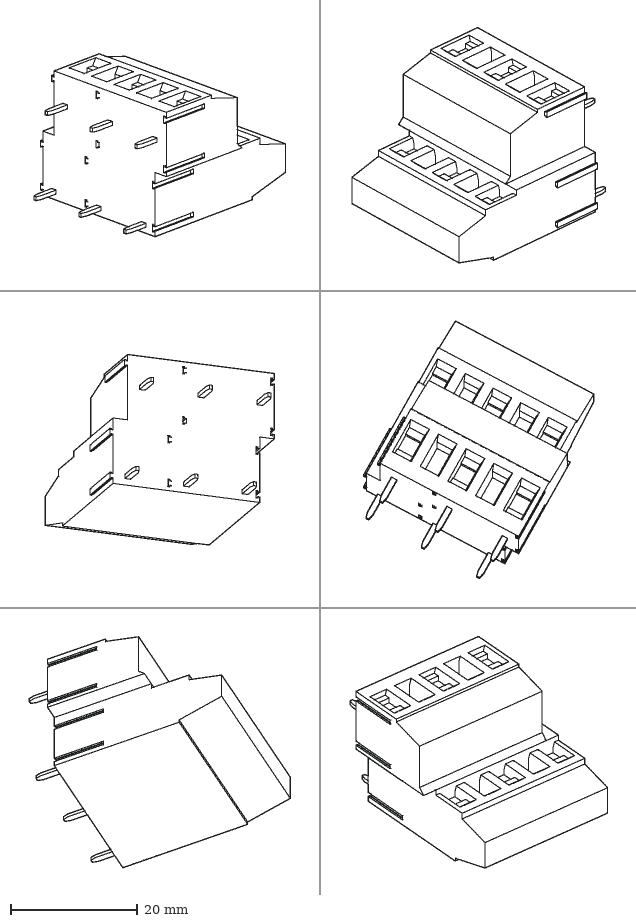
import cadquery as cq
import math


pitch = 5.0
module_poles = (2, 3)
pole_count = sum(module_poles)
tier_width = pole_count * pitch
tier_offset = pitch / 2
block_height = 22.0
tier_height = block_height / 2
slope_angle = math.radians(15)

lower_depth = 29.5
lower_top = 10.05
lower_shoulder_y = 23.75
lower_shoulder_drop = 1.08
base_depth = 22.0
base_step = 0.55
ledge_depth = 17.1
upper_depth = 16.1
upper_foot = ledge_depth - upper_depth
upper_shoulder_y = 10.2
upper_shoulder_drop = 0.55

window_width = 3.38
window_front = 2.6
window_back = 8.62
window_row_shift = 13.5
funnel_depth = 1.0
side_inset = 0.3
shaft_depth = 5.07
screw_pocket_depth = 0.9
screw_pocket_front = 1.0
screw_pocket_length = 2.75

pin_width = 0.98
pin_thickness = 0.68
pin_length = 4.3
pin_tip_length = 0.95
pin_tip_width = 0.5
lower_pin_z = 1.42
upper_pin_z = 16.7

rail_length = 8.65
tongue_reach = 0.5
tongue_neck = 0.75
tongue_head = 1.05
groove_reach = 0.6
groove_neck = 0.78
groove_head = 1.2
head_share = 0.5
lower_rail_z = (1.32, 8.7)
upper_tongue_z = (20.6,)
upper_groove_z = (12.15, 20.6)


def box(x_range, y_range, z_range):
    """Box between the given limits on each axis."""
    sizes = [high - low for low, high in (x_range, y_range, z_range)]
    corner = (x_range[0], y_range[0], z_range[0])
    return cq.Workplane("XY").box(*sizes, centered=False).translate(corner)


def side_profile(points, x_start):
    """Extrude a (Y, Z) outline over the width of a tier."""
    return cq.Workplane("YZ").polyline(points).close().extrude(tier_width).translate((x_start, 0, 0))


def slope_drop(length):
    """Height lost by a shoulder over a horizontal length."""
    return length * math.tan(slope_angle)


def lower_tier():
    shoulder_z = lower_top - lower_shoulder_drop
    nose_top = shoulder_z - slope_drop(lower_depth - lower_shoulder_y)
    nose_bottom = base_step + slope_drop(lower_depth - base_depth)
    return side_profile([
        (0, 0),
        (base_depth, 0),
        (base_depth, base_step),
        (lower_depth, nose_bottom),
        (lower_depth, nose_top),
        (lower_shoulder_y, shoulder_z),
        (lower_shoulder_y, lower_top),
        (ledge_depth, lower_top),
        (ledge_depth, tier_height),
        (0, tier_height),
    ], 0)


def upper_tier():
    shoulder_z = block_height - upper_shoulder_drop
    nose_top = shoulder_z - slope_drop(upper_depth - upper_shoulder_y)
    return side_profile([
        (0, tier_height),
        (ledge_depth, tier_height),
        (upper_depth, tier_height + upper_foot),
        (upper_depth, nose_top),
        (upper_shoulder_y, shoulder_z),
        (upper_shoulder_y, block_height),
        (0, block_height),
    ], tier_offset)


def window(x_center, front, back, front_trim, top, has_screw):
    """Material removed by one screw window; front_trim moves the front wall of the opening."""
    opening_front = front + front_trim
    half_mouth = window_width / 2
    half_shaft = half_mouth - side_inset
    shaft_back = back - funnel_depth
    mouth = (
        cq.Workplane("XY", origin=(x_center, 0, top))
        .polyline([
            (-half_mouth, opening_front), (half_mouth, opening_front),
            (half_mouth, back), (-half_mouth, back),
        ]).close()
        .workplane(offset=-funnel_depth)
        .polyline([
            (-half_shaft, opening_front), (half_shaft, opening_front),
            (half_shaft, shaft_back), (-half_shaft, shaft_back),
        ]).close()
        .loft(ruled=True)
    )
    if has_screw:
        floor = top - funnel_depth - screw_pocket_depth
        pocket_front = front + screw_pocket_front
        shaft_range = (pocket_front, pocket_front + screw_pocket_length)
    else:
        floor = top - shaft_depth
        shaft_range = (opening_front, shaft_back)
    x_range = (x_center - half_shaft, x_center + half_shaft)
    return mouth.union(box(x_range, shaft_range, (floor, top - funnel_depth)))


def pin(x_center, z_center):
    """Flat solder pin with a tapered tip, pointing to -Y."""
    half_width = pin_width / 2
    half_tip = pin_tip_width / 2
    taper_start = pin_tip_length - pin_length
    return (
        cq.Workplane("XY")
        .polyline([
            (-half_width, 0), (-half_width, taper_start), (-half_tip, -pin_length),
            (half_tip, -pin_length), (half_width, taper_start), (half_width, 0),
        ]).close()
        .extrude(pin_thickness / 2, both=True)
        .translate((x_center, 0, z_center))
    )


def rail(x_face, z_center, reach, neck, head):
    """T-shaped bar along Y that reaches to -X from a module face."""
    x_tip = x_face - reach
    x_head = x_tip + reach * head_share
    y_range = (0, rail_length)
    neck_bar = box((x_tip, x_face), y_range, (z_center - neck / 2, z_center + neck / 2))
    head_bar = box((x_tip, x_head), y_range, (z_center - head / 2, z_center + head / 2))
    return neck_bar.union(head_bar)


def finish_tier(body, x_start, top, window_shift, front_trim, pin_z, tongue_z, groove_z):
    """Add the windows, pins and joining rails to a plain tier."""
    for pole in range(pole_count):
        x_center = x_start + (pole + 0.5) * pitch
        has_screw = pole % 2 == 0
        front = window_front + window_shift
        back = window_back + window_shift
        body = body.cut(window(x_center, front, back, front_trim, top, has_screw))
        if has_screw:
            body = body.union(pin(x_center, pin_z))

    module_start = x_start
    for poles in module_poles:
        module_end = module_start + poles * pitch
        for z in groove_z:
            body = body.cut(rail(module_end, z, groove_reach, groove_neck, groove_head))
        for z in tongue_z:
            body = body.union(rail(module_start, z, tongue_reach, tongue_neck, tongue_head))
        module_start = module_end
    return body


ledge_trim = ledge_depth - (window_front + window_row_shift)

lower = finish_tier(
    lower_tier(), 0, lower_top, window_row_shift, ledge_trim,
    lower_pin_z, lower_rail_z, lower_rail_z,
)
upper = finish_tier(
    upper_tier(), tier_offset, block_height, 0, 0,
    upper_pin_z, upper_tongue_z, upper_groove_z,
)

result = lower.union(upper)